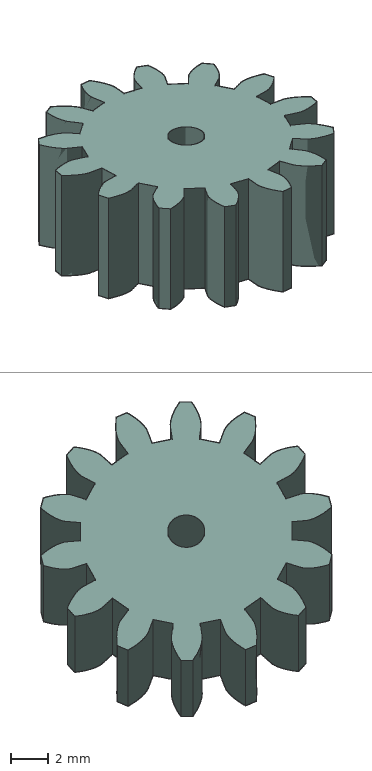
import cadquery as cq
import math

tooth_count = 14
pressure_angle = math.radians(20)
overall_size = 15.99
face_width = 6.25
bore_diameter = 2.0
dedendum_factor = 1.25
involute_steps = 6


def involute(angle):
    """Polar angle swept by the involute where its pressure angle is `angle`."""
    return math.tan(angle) - angle


base_to_tip_ratio = tooth_count * math.cos(pressure_angle) / (tooth_count + 2)
tip_pressure_angle = math.acos(base_to_tip_ratio)
base_half_angle = math.pi / (2 * tooth_count) + involute(pressure_angle)
tip_half_angle = base_half_angle - involute(tip_pressure_angle)

tip_radius = overall_size / 2 / math.cos(tip_half_angle)
module = 2 * tip_radius / (tooth_count + 2)
pitch_radius = module * tooth_count / 2
base_radius = pitch_radius * math.cos(pressure_angle)
root_radius = pitch_radius - dedendum_factor * module


def polar(radius, angle):
    return (radius * math.cos(angle), radius * math.sin(angle))


def flank_points(center_angle, side):
    """Involute from base circle to tip; side is -1 or +1 about the tooth centre line."""
    points = []
    for step in range(involute_steps + 1):
        roll = math.tan(tip_pressure_angle) * step / involute_steps
        radius = base_radius * math.hypot(1, roll)
        half_angle = base_half_angle - involute(math.atan(roll))
        points.append(polar(radius, center_angle + side * half_angle))
    return points


def gear_outline():
    pitch_angle = 2 * math.pi / tooth_count
    outline = cq.Workplane("XY").moveTo(*polar(root_radius, -base_half_angle))
    for tooth in range(tooth_count):
        center_angle = tooth * pitch_angle
        rising = flank_points(center_angle, -1)
        falling = flank_points(center_angle, 1)[::-1]
        outline = outline.lineTo(*rising[0])
        outline = outline.spline(rising[1:], includeCurrent=True)
        outline = outline.lineTo(*falling[0])
        outline = outline.spline(falling[1:], includeCurrent=True)
        outline = outline.lineTo(*polar(root_radius, center_angle + base_half_angle))
        if tooth < tooth_count - 1:
            outline = outline.lineTo(*polar(root_radius, center_angle + pitch_angle - base_half_angle))
    return outline.close()


gear_blank = gear_outline().extrude(face_width)
result = gear_blank.faces(">Z").workplane(origin=(0, 0, face_width)).hole(bore_diameter)